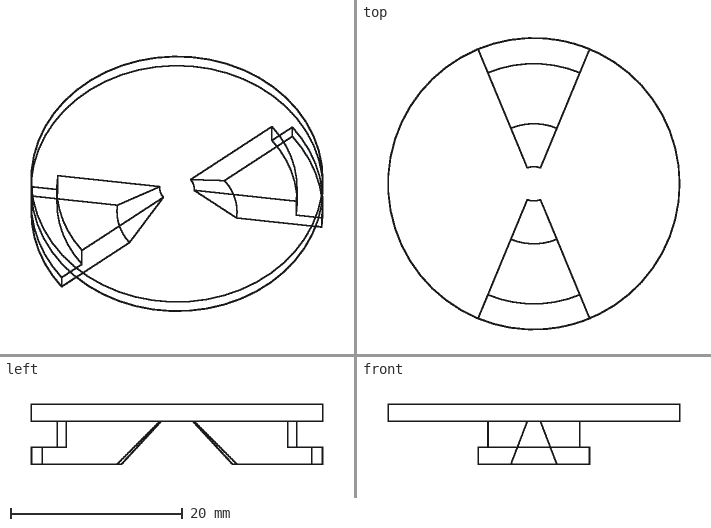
import cadquery as cq

disc_diameter = 34.0
disc_thickness = 2.0

neck_height = 3.0
foot_height = 2.0
neck_radius = 14.0
foot_radius = disc_diameter / 2
sector_angle = 45.0

cone_top_radius = 2.0
cone_bottom_radius = cone_top_radius + neck_height + foot_height

foot_top = foot_height
disc_bottom = foot_height + neck_height


def make_disc():
    """Plain round cover sitting on top of the feet."""
    disc = cq.Workplane("XY").workplane(offset=disc_bottom)
    return disc.circle(disc_diameter / 2).extrude(disc_thickness)


def make_hook(direction):
    """Hook profile revolved over the sector, centred on the given angle about Z."""
    profile = [
        (cone_top_radius, disc_bottom),
        (neck_radius, disc_bottom),
        (neck_radius, foot_top),
        (foot_radius, foot_top),
        (foot_radius, 0),
        (cone_bottom_radius, 0),
    ]
    sector = cq.Workplane("XZ").polyline(profile).close().revolve(sector_angle, (0, 0), (0, 1))
    start_angle = direction - sector_angle / 2
    return sector.rotate((0, 0, 0), (0, 0, 1), start_angle)


result = make_disc()
for hook_direction in (-90, 90):
    result = result.union(make_hook(hook_direction))